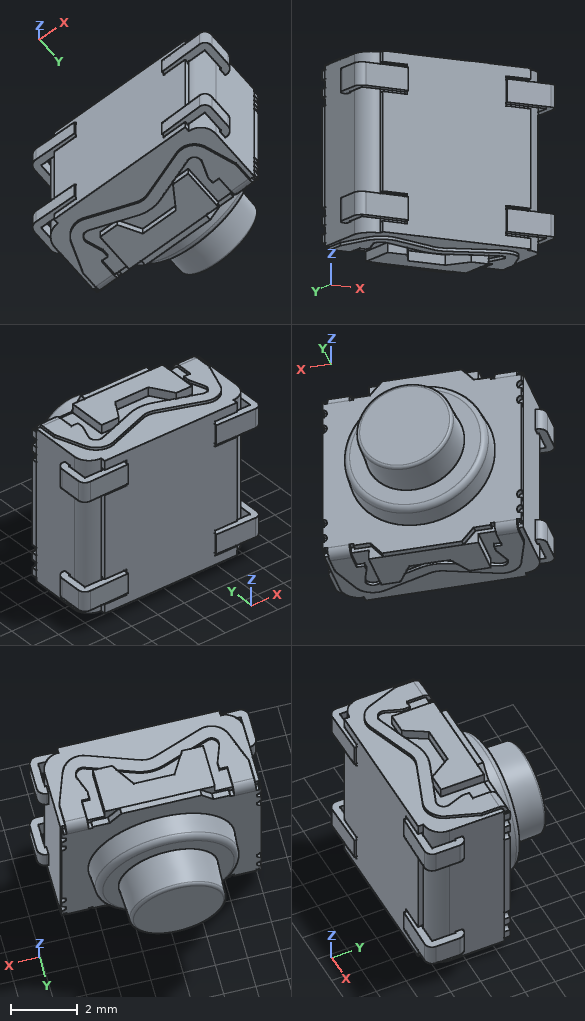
import cadquery as cq
import math


arc_middle = math.sqrt(0.5)

total_height = 4.9
flange_top = 3.705
cover_top = 2.9
sheet = 0.2
housing_top = cover_top - sheet
housing_bottom = 0.27
foot_bottom = 0.095

housing_half_width = 3.095
housing_half_length = 2.79
housing_corner_radius = 0.58
foot_half_width = housing_half_width - housing_corner_radius

lug_end = 3.1
lug_half_width = 1.71
lug_left_bottom = 1.29
lug_right_bottom = 1.26
lug_notch_top = 2.005
lug_notch_half_width = 0.63
lug_notch_left = 1.05
lug_notch_right = 1.115

terminal_end = 3.4
terminal_thickness = 0.26
terminal_width = 0.715
terminal_spacing = 3.985
terminal_top = 1.305
terminal_tip = 1.68
terminal_tip_lift = 0.03
pocket_width = 0.92

cover_half_width = housing_half_width
cover_half_length = 2.665
tab_root_half_width = 1.61
tab_tip_half_width = 1.245
tab_shoulder = 2.135
outer_relief = 3.03
notch_radius = 0.135
notch_positions = (1.7, 2.245)

leg_face = 2.88
leg_half_width = 2.945
bend_radius = 0.285
bend_start = leg_face - bend_radius
leg_slope = math.radians(19.7)
lobe_x = 1.985
lobe_y = 1.21
lobe_inner_radius = 0.23
lobe_outer_radius = 0.63
peak_inner_radius = 1.29
peak_outer_radius = 0.68
window_half_width = 2.26
window_step_y = 2.055
window_neck_half_width = 2.01

flange_base_radius = 2.28
flange_rim_radius = 2.23
flange_round = 0.19
stem_base_radius = 1.545
stem_middle_radius = 1.51
stem_rim_radius = 1.495
stem_round = 0.095


def mirrored_outline(left_points):
    """Close a left half outline with its mirror image about X = 0."""
    right_points = [(-x, y) for x, y in reversed(left_points) if x != 0]
    return left_points + right_points


def round_edge(prism, x, y, radius):
    """Fillet the edge along Z that passes nearest to the point (x, y)."""
    edge = cq.selectors.NearestToPointSelector((x, y, lug_end / 2))
    return prism.edges(edge).fillet(radius)


def leg_outline(lobe_radius, peak_radius, half_width, lean, upper_points):
    """Prism of a W outline: lobes at the bottom corners, a rounded peak in the middle.

    The flanks above the lobes open upward for lean = 1 and close upward for lean = -1.
    """
    sin, cos, tan = math.sin(leg_slope), math.cos(leg_slope), math.tan(leg_slope)
    corner_shift = lobe_radius * (cos - lean * sin) / (cos**2 + lean * sin**2)
    lobe = (-lobe_x - corner_shift, lobe_y - lobe_radius / cos - corner_shift * tan)
    flank_top = (-half_width, lobe[1] + lean * (half_width + lobe[0]) / tan)
    peak = (0, lobe[1] - lobe[0] * tan)
    points = mirrored_outline(upper_points + [flank_top, lobe, peak])
    prism = cq.Workplane("XY").polyline(points).close().extrude(lug_end)
    prism = round_edge(prism, peak[0], peak[1], peak_radius)
    for side in (-1, 1):
        prism = round_edge(prism, side * lobe[0], lobe[1], lobe_radius)
    return prism


def make_leg():
    """Leg at the +Z end: sheet bent down from the plate, cut to a W-shaped strap."""
    inner_bend = bend_radius - sheet
    bend_y = cover_top - bend_radius
    bent_sheet = (
        cq.Workplane("YZ", origin=(-leg_half_width, 0, 0))
        .moveTo(cover_top, bend_start)
        .threePointArc((bend_y + bend_radius * arc_middle, bend_start + bend_radius * arc_middle),
                       (bend_y, leg_face))
        .lineTo(0, leg_face)
        .lineTo(0, leg_face - sheet)
        .lineTo(bend_y, leg_face - sheet)
        .threePointArc((bend_y + inner_bend * arc_middle, bend_start + inner_bend * arc_middle),
                       (housing_top, bend_start))
        .close()
        .extrude(2 * leg_half_width)
    )
    strap = leg_outline(lobe_outer_radius, peak_outer_radius, leg_half_width, 1,
                        [(-leg_half_width, cover_top)])
    window = leg_outline(lobe_inner_radius, peak_inner_radius, window_neck_half_width, -1,
                         [(-window_half_width, cover_top),
                          (-window_half_width, window_step_y),
                          (-window_neck_half_width, window_step_y)])
    return bent_sheet.intersect(strap.cut(window))


def make_plate():
    """Flat cover plate with end tabs, relief slots beside the bends and edge notches."""
    end_points = [
        (cover_half_width, cover_half_length),
        (outer_relief, cover_half_length),
        (outer_relief, bend_start),
        (tab_shoulder, bend_start),
        (tab_shoulder, cover_half_length),
        (tab_root_half_width, cover_half_length),
        (tab_tip_half_width, lug_end),
    ]
    upper = mirrored_outline(end_points)
    lower = [(x, -z) for x, z in reversed(upper)]
    plate = (
        cq.Workplane("XZ", origin=(0, housing_top, 0))
        .polyline(upper + lower).close().extrude(-sheet)
    )
    notches = [(x, side * z) for x in (-cover_half_width, cover_half_width)
               for z in notch_positions for side in (-1, 1)]
    cutters = (
        cq.Workplane("XZ", origin=(0, housing_top, 0))
        .pushPoints(notches).circle(notch_radius).extrude(-sheet)
    )
    return plate.cut(cutters)


def make_button():
    """Round flange and stem, revolved about the Y axis."""
    flange_face_radius = flange_rim_radius - flange_round
    stem_face_radius = stem_rim_radius - stem_round
    flange_rim_y = flange_top - flange_round
    stem_rim_y = total_height - stem_round
    return (
        cq.Workplane("XY")
        .moveTo(0, cover_top)
        .lineTo(flange_base_radius, cover_top)
        .lineTo(flange_rim_radius, flange_rim_y)
        .threePointArc((flange_face_radius + flange_round * arc_middle,
                        flange_rim_y + flange_round * arc_middle),
                       (flange_face_radius, flange_top))
        .lineTo(stem_base_radius, flange_top)
        .threePointArc((stem_middle_radius, (flange_top + stem_rim_y) / 2), (stem_rim_radius, stem_rim_y))
        .threePointArc((stem_face_radius + stem_round * arc_middle, stem_rim_y + stem_round * arc_middle),
                       (stem_face_radius, total_height))
        .lineTo(0, total_height)
        .close()
        .revolve(360, (0, 0), (0, 1))
    )


def make_cover():
    """Cover plate with its button and the two legs."""
    leg = make_leg()
    cover = make_plate().union(make_button()).union(leg).union(leg.mirror("XY"))
    return cover.solids()


def make_terminal():
    """C-shaped terminal on the -X side, centred on Z = 0."""
    inner_x = -terminal_end + terminal_thickness
    profile = [
        (-terminal_tip, terminal_tip_lift),
        (-terminal_tip, terminal_thickness),
        (inner_x, terminal_thickness),
        (inner_x, terminal_top - terminal_thickness),
        (-housing_half_width, terminal_top - terminal_thickness),
        (-housing_half_width, terminal_top),
        (inner_x, terminal_top),
    ]
    corner_gap = terminal_thickness * (1 - arc_middle)
    return (
        cq.Workplane("XY", origin=(0, 0, -terminal_width / 2))
        .polyline(profile)
        .threePointArc((-terminal_end + corner_gap, terminal_top - corner_gap),
                       (-terminal_end, terminal_top - terminal_thickness))
        .lineTo(-terminal_end, terminal_thickness)
        .threePointArc((-terminal_end + corner_gap, corner_gap), (inner_x, 0))
        .close()
        .extrude(terminal_width)
    )


def make_lug():
    """Lug on the +Z end with a trapezoidal notch in its lower edge."""
    points = [
        (-lug_half_width, housing_top),
        (-lug_half_width, lug_left_bottom),
        (-lug_notch_left, lug_left_bottom),
        (-lug_notch_half_width, lug_notch_top),
        (lug_notch_half_width, lug_notch_top),
        (lug_notch_right, lug_right_bottom),
        (lug_half_width, lug_right_bottom),
        (lug_half_width, housing_top),
    ]
    return (
        cq.Workplane("XY", origin=(0, 0, housing_half_length))
        .polyline(points).close().extrude(lug_end - housing_half_length)
    )


def make_housing(cover):
    """Housing block with foot, lugs, terminal pockets and recesses for the cover legs."""
    block = (
        cq.Workplane("XY")
        .center(0, (housing_bottom + housing_top) / 2)
        .rect(2 * housing_half_width, housing_top - housing_bottom)
        .extrude(housing_half_length, both=True)
        .edges("|Z and <Y").fillet(housing_corner_radius)
    )
    foot = (
        cq.Workplane("XY")
        .center(0, (foot_bottom + housing_bottom) / 2)
        .rect(2 * foot_half_width, housing_bottom - foot_bottom)
        .extrude(housing_half_length, both=True)
    )
    lug = make_lug()
    housing = block.union(foot).union(lug).union(lug.mirror("XY"))
    pocket_length = foot_half_width - terminal_tip
    for x_side in (-1, 1):
        for z_side in (-1, 1):
            pocket = cq.Workplane("XY").box(
                pocket_length, terminal_thickness, pocket_width
            ).translate((x_side * (terminal_tip + pocket_length / 2),
                         terminal_thickness / 2,
                         z_side * terminal_spacing / 2))
            housing = housing.cut(pocket)
    return housing.cut(cover).solids()


cover = make_cover()
housing = make_housing(cover)

terminals = []
for z_side in (-1, 1):
    terminal = make_terminal().translate((0, 0, z_side * terminal_spacing / 2))
    terminals.append(terminal.val())
    terminals.append(terminal.mirror("YZ").val())

result = cq.Compound.makeCompound([housing.val(), cover.val(), *terminals])